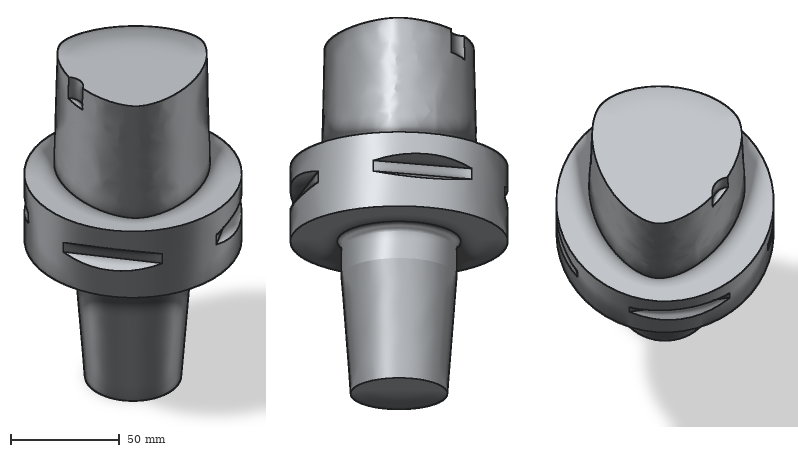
import cadquery as cq
import math

total_height = 170.0
taper_length = 60.0
flange_thickness = 36.0
flange_top = total_height - taper_length
flange_bottom = flange_top - flange_thickness
collar_bottom = 56.8
relief_height = 4.0

flange_radius = 100.0 / 2
collar_radius = 53.0 / 2
nose_radius = 44.5 / 2
relief_width = 1.9

shank_base_radius = 35.9
taper_rate = 1 / 40
shank_top_radius = shank_base_radius - taper_length * taper_rate
lobe_height = 2.7
lobe_count = 3
outline_points = 36

key_width = 12.0
key_radius = 7.8
key_height = 11.4
key_back = 28.7

slot_count = 4
slot_first_angle = 45
slot_center_height = 94.0
slot_floor_height = 5.1
slot_floor_distance = 44.2
slot_flank_angle = 30


def make_body():
    """Revolve the flange, the relief arc, the collar and the conical nose."""
    relief_bottom = flange_bottom - relief_height
    relief_radius = (relief_width**2 + relief_height**2) / (2 * relief_width)
    return (
        cq.Workplane("XZ")
        .lineTo(nose_radius, 0)
        .lineTo(collar_radius, collar_bottom)
        .lineTo(collar_radius, relief_bottom)
        .radiusArc((collar_radius + relief_width, flange_bottom), relief_radius)
        .lineTo(flange_radius, flange_bottom)
        .lineTo(flange_radius, flange_top)
        .lineTo(0, flange_top)
        .close()
        .revolve(360, (0, 0, 0), (0, 1, 0))
    )


def lobed_point(mean_radius, angle):
    """Point whose tangent lies mean_radius + lobe_height * cos(lobe_count * angle) from the axis.

    The angle is measured from +Y, where one lobe points.
    """
    reach = mean_radius + lobe_height * math.cos(lobe_count * angle)
    slide = -lobe_count * lobe_height * math.sin(lobe_count * angle)
    along = reach * math.cos(angle) - slide * math.sin(angle)
    across = reach * math.sin(angle) + slide * math.cos(angle)
    return (-across, along)


def lobed_outline(mean_radius):
    step = 2 * math.pi / outline_points
    return [lobed_point(mean_radius, i * step) for i in range(outline_points)]


def make_shank():
    """Loft the lobed outline from the flange to the smaller top face."""
    return (
        cq.Workplane("XY", origin=(0, 0, flange_top))
        .spline(lobed_outline(shank_base_radius), periodic=True)
        .close()
        .workplane(offset=taper_length)
        .spline(lobed_outline(shank_top_radius), periodic=True)
        .close()
        .loft(ruled=True)
    )


def make_keyway():
    """Cutter with a round back and straight sides open toward -Y."""
    half_width = key_width / 2
    arc_depth = key_radius - math.sqrt(key_radius**2 - half_width**2)
    arc_end = -key_back - arc_depth
    return (
        cq.Workplane("XY", origin=(0, 0, total_height - key_height))
        .moveTo(-half_width, arc_end)
        .threePointArc((0, -key_back), (half_width, arc_end))
        .lineTo(half_width, -flange_radius)
        .lineTo(-half_width, -flange_radius)
        .close()
        .extrude(key_height)
    )


def make_slot(angle):
    """Trapezoidal cutter across the flange rim, widening outward."""
    depth = flange_radius - slot_floor_distance
    half_floor = slot_floor_height / 2
    half_mouth = half_floor + depth * math.tan(math.radians(slot_flank_angle))
    return (
        cq.Workplane("XZ", origin=(0, 0, slot_center_height))
        .moveTo(slot_floor_distance, -half_floor)
        .lineTo(flange_radius, -half_mouth)
        .lineTo(flange_radius, half_mouth)
        .lineTo(slot_floor_distance, half_floor)
        .close()
        .extrude(flange_radius, both=True)
        .rotate((0, 0, 0), (0, 0, 1), angle)
    )


result = make_body().union(make_shank()).cut(make_keyway())
for index in range(slot_count):
    result = result.cut(make_slot(slot_first_angle + index * 360 / slot_count))